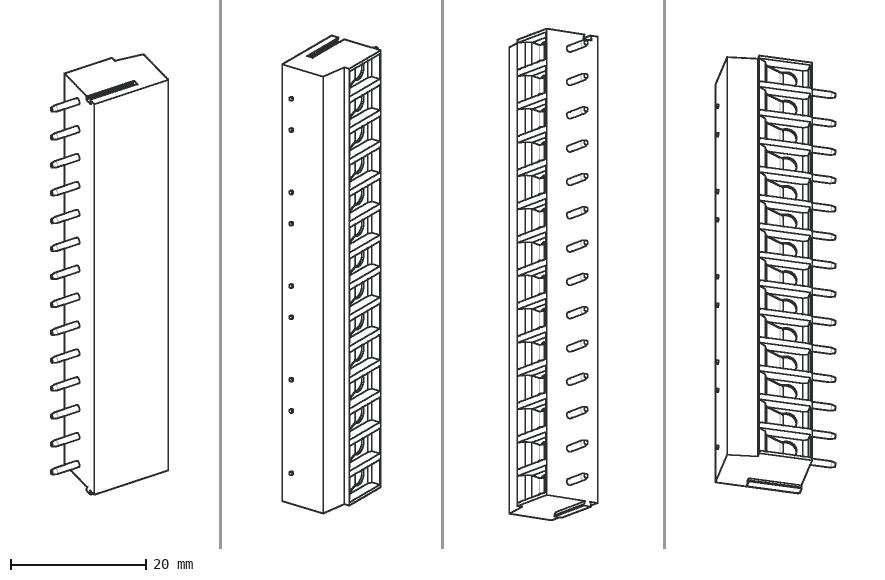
import cadquery as cq
import math


pole_count = 14
overall_height = 71.8
rail_height = 0.7
housing_height = overall_height - rail_height
pitch = housing_height / pole_count
housing_width = 9.0
housing_depth = 12.6
ledge_depth = 8.05
ledge_width = 0.85
rear_setback = 1.5

web_thickness = 1.0
recess_height = pitch - web_thickness
recess_depth = 1.7
front_lip = 0.3
floor_ramp_run = 0.7
floor_ramp_rise = 0.3
rear_slope_run = 1.1
rear_slope_depth = 0.7
rear_wall_run = 0.4

hole_radius = 1.45
hole_y = 3.4
hole_depth = 0.35

tongue_thickness = 0.15
tongue_bend_radius = 0.65
tongue_tip_y = 3.9
tongue_root_y = ledge_depth - rear_slope_run - rear_wall_run
tongue_tip_width = 2.4

pin_x = 4.0
pin_diameter = 1.0
pin_tip_diameter = 0.65
pin_length = 4.45
pin_tip_length = 0.7
pin_root_length = 0.7

dovetail_x = 7.2
rail_neck_width = 0.85
rail_foot_width = 1.3
foot_land = 0.2
groove_depth = rail_height
groove_clearance = 0.1

stud_diameter = 0.6
stud_height = 0.3
stud_group = 3


def pole_center(index):
    return (index + 0.5) * pitch


def make_housing():
    outline = [
        (0, 0),
        (housing_width, 0),
        (housing_width, housing_depth),
        (rear_setback, housing_depth),
        (ledge_width, ledge_depth),
        (0, ledge_depth),
    ]
    return cq.Workplane("XY").polyline(outline).close().extrude(housing_height)


def make_recess():
    """Cutter for one pole, centred on Z = 0."""
    slope_end_y = ledge_depth - rear_slope_run
    outline = [
        (0, front_lip),
        (recess_depth - floor_ramp_rise, front_lip),
        (recess_depth, front_lip + floor_ramp_run),
        (recess_depth, tongue_root_y),
        (rear_slope_depth, slope_end_y),
        (0, ledge_depth),
    ]
    pocket = cq.Workplane("XY").polyline(outline).close().extrude(recess_height / 2, both=True)
    hole = (
        cq.Workplane("YZ", origin=(recess_depth, hole_y, 0))
        .circle(hole_radius)
        .extrude(hole_depth)
    )
    return pocket.union(hole)


def make_tongue():
    """Tapered tongue of one pole, centred on Z = 0, rounded where it bends into the hole."""
    top_x = recess_depth - tongue_thickness
    floor_x = recess_depth + hole_depth
    bend_start_y = tongue_tip_y + tongue_bend_radius
    bend_mid = tongue_bend_radius * (1 - math.sqrt(0.5))
    side = (
        cq.Workplane("XY")
        .moveTo(top_x, tongue_root_y)
        .lineTo(top_x, bend_start_y)
        .threePointArc(
            (top_x + bend_mid, tongue_tip_y + bend_mid),
            (top_x + tongue_bend_radius, tongue_tip_y),
        )
        .lineTo(floor_x, tongue_tip_y)
        .lineTo(floor_x, tongue_root_y)
        .close()
        .extrude(recess_height / 2, both=True)
    )
    taper = [
        (tongue_root_y, -recess_height / 2),
        (bend_start_y, -tongue_tip_width / 2),
        (tongue_tip_y, -tongue_tip_width / 2),
        (tongue_tip_y, tongue_tip_width / 2),
        (bend_start_y, tongue_tip_width / 2),
        (tongue_root_y, recess_height / 2),
    ]
    plan = cq.Workplane("YZ").polyline(taper).close().extrude(floor_x)
    return side.intersect(plan)


def make_pin():
    """Solder pin of one pole, centred on Z = 0, rooted in the housing and tapered at its tip."""
    shoulder_y = pin_tip_length - pin_length
    outline = [
        (0, pin_root_length),
        (pin_diameter / 2, pin_root_length),
        (pin_diameter / 2, shoulder_y),
        (pin_tip_diameter / 2, -pin_length),
        (0, -pin_length),
    ]
    pin = cq.Workplane("XY").polyline(outline).close().revolve(360, (0, 0), (0, 1))
    return pin.translate((pin_x, 0, 0))


def make_dovetail(top_z, height, clearance):
    """Dovetail bar along the wire-entry depth, wider at its foot."""
    bottom_z = top_z - height
    neck = rail_neck_width / 2 + clearance
    foot = rail_foot_width / 2 + clearance
    outline = [
        (dovetail_x - neck, top_z),
        (dovetail_x + neck, top_z),
        (dovetail_x + foot, bottom_z + foot_land),
        (dovetail_x + foot, bottom_z),
        (dovetail_x - foot, bottom_z),
        (dovetail_x - foot, bottom_z + foot_land),
    ]
    return cq.Workplane("XZ").polyline(outline).close().extrude(-ledge_depth)


def make_stud(z):
    return (
        cq.Workplane("XZ", origin=(dovetail_x, housing_depth, z))
        .circle(stud_diameter / 2)
        .extrude(-stud_height)
    )


result = make_housing()
result = result.cut(make_dovetail(housing_height, groove_depth, groove_clearance))
result = result.union(make_dovetail(0, rail_height, 0))

recess = make_recess()
tongue = make_tongue()
pin = make_pin()
for index in range(pole_count):
    place = (0, 0, pole_center(index))
    result = result.cut(recess.translate(place))
    result = result.union(tongue.translate(place))
    result = result.union(pin.translate(place))

for boundary in range(1, pole_count):
    if boundary % stud_group != 0:
        result = result.union(make_stud(housing_height - boundary * pitch))